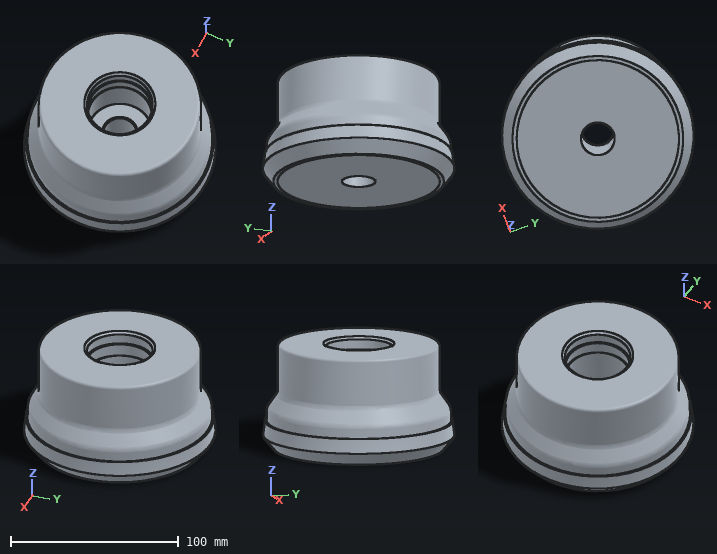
import cadquery as cq
import math

height = 63.5
ring_radius = 57.1

hub_radius = 48.3
hub_edge_radius = 2.0
skirt_radius = 54.9
shoulder_angle = 35.0
shoulder_blend_radius = 5.0
skirt_corner_height = 24.0
skirt_foot_height = 17.2
skirt_foot_flare = 0.1

ring_height = 16.7
ring_inner_radius = hub_radius
ring_top_radius = 55.9
flank_base_height = 8.0
bevel_top_height = 7.2
bevel_top_radius = 56.7
bevel_foot_radius = 50.8
flank_bands = 12
flare_power = 1.2

mouth_radius = 21.1
mouth_depth = 1.6
entry_radius = 19.5
entry_depth = 7.6
guide_radius = 19.1
guide_chamfer = entry_radius - guide_radius
guide_end_depth = 15.8
relief_radius = 19.3
floor_depth = 37.7
through_radius = 9.9
through_chamfer = 0.6


def revolve_profile(profile):
    """Turn a closed radius/height outline once around the Z axis."""
    return profile.close().revolve(360, (0, 0), (0, 1))


def make_body_blank():
    """Solid hub with a blended shoulder, stepped in below the skirt to seat the ring."""
    shoulder_rise = (skirt_radius - hub_radius) / math.tan(math.radians(shoulder_angle))
    hub_corner_height = skirt_corner_height + shoulder_rise
    blank = revolve_profile(
        cq.Workplane("XZ")
        .lineTo(ring_inner_radius, 0)
        .lineTo(ring_inner_radius, ring_height)
        .lineTo(skirt_radius + skirt_foot_flare, ring_height)
        .lineTo(skirt_radius, skirt_foot_height)
        .lineTo(skirt_radius, skirt_corner_height)
        .lineTo(hub_radius, hub_corner_height)
        .lineTo(hub_radius, height)
        .lineTo(0, height)
    )
    blend_margin = 0.1
    shoulder_edges = cq.selectors.BoxSelector(
        (-ring_radius, -ring_radius, skirt_corner_height - blend_margin),
        (ring_radius, ring_radius, hub_corner_height + blend_margin),
    )
    blank = blank.edges(shoulder_edges).edges("%CIRCLE").fillet(shoulder_blend_radius)
    return blank.faces(">Z").edges().fillet(hub_edge_radius)


def make_bore():
    """Space taken by the chamfered mounting bore and the screw hole below it."""
    floor_height = height - floor_depth
    guide_top = height - entry_depth
    guide_end = height - guide_end_depth
    return revolve_profile(
        cq.Workplane("XZ")
        .lineTo(through_radius, 0)
        .lineTo(through_radius, floor_height - through_chamfer)
        .lineTo(through_radius + through_chamfer, floor_height)
        .lineTo(relief_radius, floor_height)
        .lineTo(relief_radius, guide_end)
        .lineTo(guide_radius, guide_end)
        .lineTo(guide_radius, guide_top - guide_chamfer)
        .lineTo(entry_radius, guide_top)
        .lineTo(entry_radius, height - mouth_depth)
        .lineTo(mouth_radius, height)
        .lineTo(0, height)
    )


def flank_point(fraction):
    """Point on the flared flank, from its top (0) to its base (1)."""
    flare = (ring_radius - ring_top_radius) * fraction ** flare_power
    drop = (ring_height - flank_base_height) * fraction
    return ring_top_radius + flare, ring_height - drop


def make_cutting_ring():
    """Ring with a flared flank of narrow conical bands and a bevelled underside."""
    profile = cq.Workplane("XZ").moveTo(ring_inner_radius, 0)
    profile = profile.lineTo(ring_inner_radius, ring_height)
    for band in range(flank_bands + 1):
        profile = profile.lineTo(*flank_point(band / flank_bands))
    profile = profile.lineTo(bevel_top_radius, bevel_top_height)
    profile = profile.lineTo(bevel_foot_radius, 0)
    return revolve_profile(profile)


body = make_body_blank().cut(make_bore())
cutting_ring = make_cutting_ring()

result = cq.Compound.makeCompound([body.val(), cutting_ring.val()])